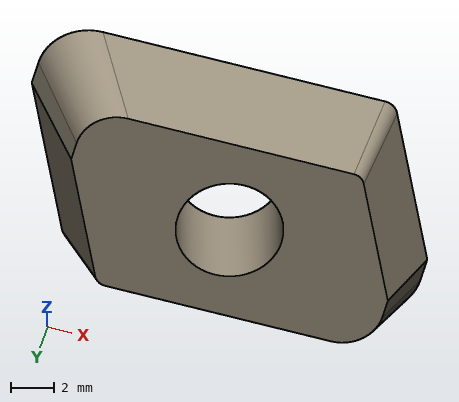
import cadquery as cq
import math

length = 20.2
width = 11.2
thickness = 5.3
base_ratio = 0.8
large_corner_radius = 2.4
small_corner_radius = 0.8
flat_end_y = 2.06
slant_corner_x = 6.36
hole_diameter = 4.99

half_length = length / 2
half_width = width / 2


def outline(scale, z):
    """Outline with half-turn symmetry, scaled about the hole axis."""
    run = half_length - slant_corner_x
    rise = half_width + flat_end_y
    slant_length = math.hypot(run, rise)
    slant = (run / slant_length, rise / slant_length)

    turn = math.atan2(rise, run)
    tangent_length = small_corner_radius * math.tan(turn / 2)
    small_start = (-slant_corner_x - tangent_length * slant[0], half_width - tangent_length * slant[1])
    small_end = (-slant_corner_x + tangent_length, half_width)
    small_middle = (
        small_end[0] - small_corner_radius * math.sin(turn / 2),
        half_width - small_corner_radius * (1 - math.cos(turn / 2)),
    )

    large_start = (half_length - large_corner_radius, half_width)
    large_end = (half_length, half_width - large_corner_radius)
    inset = large_corner_radius * (1 - math.sqrt(0.5))
    large_middle = (half_length - inset, half_width - inset)

    flat_start = (-half_length, -flat_end_y)
    wire = cq.Workplane("XY", origin=(0, 0, z)).moveTo(scale * flat_start[0], scale * flat_start[1])
    for sign in (scale, -scale):

        def place(point):
            return (sign * point[0], sign * point[1])

        wire = (
            wire.lineTo(*place(small_start))
            .threePointArc(place(small_middle), place(small_end))
            .lineTo(*place(large_start))
            .threePointArc(place(large_middle), place(large_end))
        )
        if sign > 0:
            wire = wire.lineTo(*place((half_length, flat_end_y)))
    return wire.close().val()


body = cq.Solid.makeLoft([outline(base_ratio, 0), outline(1, thickness)], True)

hole = cq.Workplane("XY").circle(hole_diameter / 2).extrude(thickness)

result = cq.Workplane("XY").newObject([body]).cut(hole)